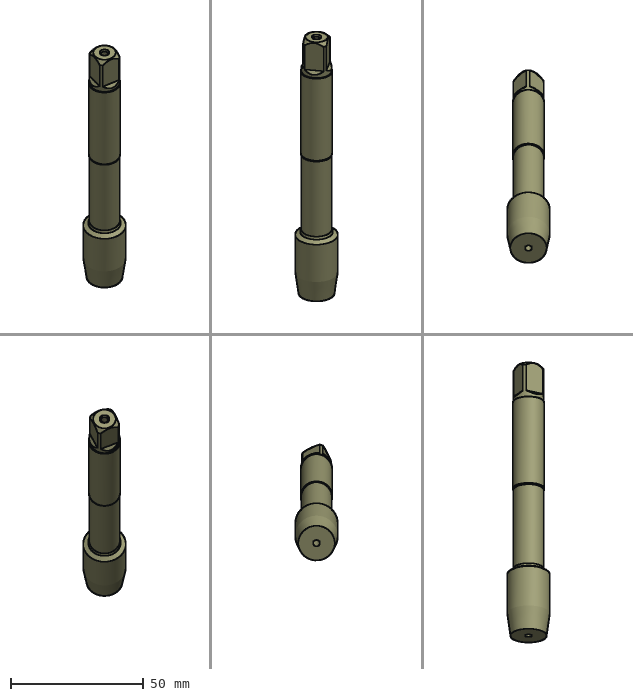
import cadquery as cq

TOTAL_LENGTH = 110.0
LEAD_LENGTH = 9.0
CUTTER_LENGTH = 25.1
FLARE_TOP = 26.2
NECK_START = 27.3
SHANK_START = 59.5
SHANK_END = 95.5
FLAT_BOTTOM = 98.0

TIP_DIAMETER = 13.8
CUTTER_DIAMETER = 16.2
FLARE_TOP_DIAMETER = 12.3
NECK_DIAMETER = 11.5
SHANK_DIAMETER = 12.0
COLLAR_DIAMETER = 11.5
TOP_FACE_DIAMETER = 8.5
BORE_DIAMETER = 2.5
COUNTERSINK_DIAMETER = 3.6

SQUARE_SIDE = 9.0
TOP_CHAMFER_DROP = (COLLAR_DIAMETER - TOP_FACE_DIAMETER) / 2
SHANK_LEAD_IN = 0.5
COUNTERSINK_DEPTH = (COUNTERSINK_DIAMETER - BORE_DIAMETER) / 2


def revolve_profile(points):
    """Turn a closed (radius, height) outline around the Z axis."""
    return cq.Workplane("XZ").polyline(points).close().revolve(360, (0, 0), (0, 1))


def make_bore():
    return cq.Workplane("XY").circle(BORE_DIAMETER / 2).extrude(TOTAL_LENGTH)


def make_cutter():
    """Cylindrical cutting section with a tapered lead at the tip."""
    body = revolve_profile([
        (0, 0),
        (TIP_DIAMETER / 2, 0),
        (CUTTER_DIAMETER / 2, LEAD_LENGTH),
        (CUTTER_DIAMETER / 2, CUTTER_LENGTH),
        (0, CUTTER_LENGTH),
    ])
    return body.cut(make_bore())


def make_turned_shank():
    """Flared base, neck, shank and collar before the square is cut."""
    collar_radius = COLLAR_DIAMETER / 2
    neck_radius = NECK_DIAMETER / 2
    shank_radius = SHANK_DIAMETER / 2
    shank_step = shank_radius - neck_radius
    return revolve_profile([
        (0, CUTTER_LENGTH),
        (CUTTER_DIAMETER / 2, CUTTER_LENGTH),
        (FLARE_TOP_DIAMETER / 2, FLARE_TOP),
        (neck_radius, NECK_START),
        (neck_radius, SHANK_START),
        (shank_radius, SHANK_START + SHANK_LEAD_IN),
        (shank_radius, SHANK_END - shank_step),
        (collar_radius, SHANK_END),
        (collar_radius, TOTAL_LENGTH - TOP_CHAMFER_DROP),
        (TOP_FACE_DIAMETER / 2, TOTAL_LENGTH),
        (0, TOTAL_LENGTH),
    ])


def make_flat_cutter():
    """Block that removes one side of the square, with a 45 degree runout."""
    flat = SQUARE_SIDE / 2
    outside = SHANK_DIAMETER
    return (
        cq.Workplane("XZ")
        .moveTo(flat, TOTAL_LENGTH)
        .lineTo(flat, FLAT_BOTTOM)
        .lineTo(outside, FLAT_BOTTOM - (outside - flat))
        .lineTo(outside, TOTAL_LENGTH)
        .close()
        .extrude(SHANK_DIAMETER / 2, both=True)
    )


def make_countersink():
    return revolve_profile([
        (0, TOTAL_LENGTH),
        (COUNTERSINK_DIAMETER / 2, TOTAL_LENGTH),
        (BORE_DIAMETER / 2, TOTAL_LENGTH - COUNTERSINK_DEPTH),
        (0, TOTAL_LENGTH - COUNTERSINK_DEPTH),
    ])


def make_shank():
    """Shank with a four-sided drive end and a countersunk through bore."""
    body = make_turned_shank()
    flat_cutter = make_flat_cutter()
    for angle in (0, 90, 180, 270):
        body = body.cut(flat_cutter.rotate((0, 0, 0), (0, 0, 1), angle))
    return body.cut(make_bore()).cut(make_countersink())


cutter = make_cutter()
shank = make_shank()

result = cq.Compound.makeCompound([cutter.val(), shank.val()])